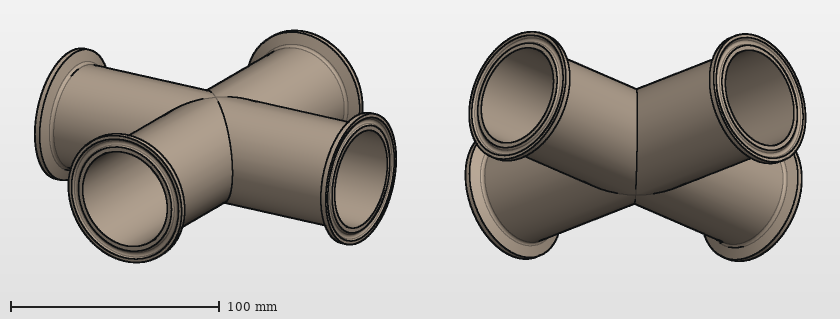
import cadquery as cq
import math

overall_length = 164.0
half_length = overall_length / 2
pipe_radius = 50.8 / 2
bore_radius = 47.7 / 2

flange_radius = 64.0 / 2
rim_thickness = 2.8
cone_angle = math.radians(20)
neck_fillet = 1.8

groove_center_radius = 28.2
groove_half_width = 2.0
groove_bottom_half_width = 1.07
flank_angle = math.radians(45)


def along_x(radius):
    """Cylinder spanning the full length along X."""
    return cq.Workplane("YZ").circle(radius).extrude(half_length, both=True)


def crossed(body):
    """Join a body with its copy turned a quarter turn about Z."""
    return body.union(body.rotate((0, 0, 0), (0, 0, 1), 90))


def make_flange():
    """Flange on the +X end, revolved from an (axial, radial) profile."""
    rim_back = half_length - rim_thickness
    cone_foot = rim_back - (flange_radius - pipe_radius) * math.tan(cone_angle)
    turn = math.pi / 2 - cone_angle
    tangent_length = neck_fillet * math.tan(turn / 2)
    fillet_start = cone_foot - tangent_length
    fillet_center_radius = pipe_radius + neck_fillet

    def fillet_point(angle):
        return (fillet_start + neck_fillet * math.sin(angle),
                fillet_center_radius - neck_fillet * math.cos(angle))

    return (
        cq.Workplane("XY")
        .moveTo(fillet_start, 0)
        .lineTo(fillet_start, pipe_radius)
        .threePointArc(fillet_point(turn / 2), fillet_point(turn))
        .lineTo(rim_back, flange_radius)
        .lineTo(half_length, flange_radius)
        .lineTo(half_length, 0)
        .close()
        .revolve(360, (0, 0, 0), (1, 0, 0))
    )


def make_groove():
    """Ring-shaped cutter for the gasket groove in the +X end face."""
    flank_depth = (groove_half_width - groove_bottom_half_width) / math.tan(flank_angle)
    bottom_radius = groove_bottom_half_width / math.cos(flank_angle)
    total_depth = flank_depth + bottom_radius * (1 - math.sin(flank_angle))
    flank_end = half_length - flank_depth
    return (
        cq.Workplane("XY")
        .moveTo(half_length, groove_center_radius - groove_half_width)
        .lineTo(flank_end, groove_center_radius - groove_bottom_half_width)
        .threePointArc(
            (half_length - total_depth, groove_center_radius),
            (flank_end, groove_center_radius + groove_bottom_half_width),
        )
        .lineTo(half_length, groove_center_radius + groove_half_width)
        .close()
        .revolve(360, (0, 0, 0), (1, 0, 0))
    )


result = crossed(along_x(pipe_radius))
grooved_flange = make_flange().cut(make_groove())
for quarter in range(4):
    result = result.union(grooved_flange.rotate((0, 0, 0), (0, 0, 1), 90 * quarter))

result = result.cut(crossed(along_x(bore_radius)))